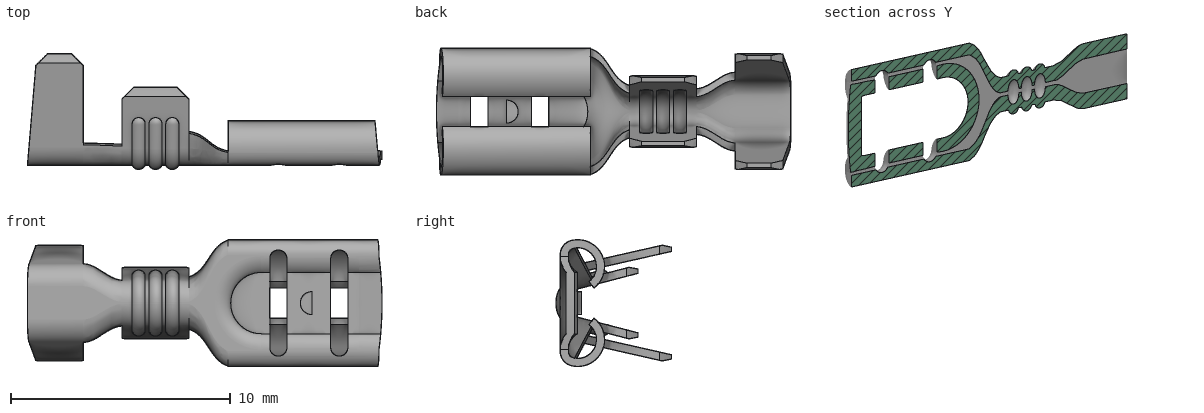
import cadquery as cq
import math


sheet = 0.375

insulation_end = 2.55
crimp_start = 4.3
crimp_end = 7.35
roll_start = 9.13
length = 16.13

insulation_flat = 0.76
insulation_radius = 1.03
insulation_bend = 77.25
insulation_top = 5.07
insulation_rake = 0.38

crimp_flat = 0.045
crimp_radius = 1.0
crimp_bend = 75.5
crimp_top = 3.55

corner = 0.54
coin_length = 0.43
coin_depth = 0.2

rib_pitch = 0.764
rib_count = 3
rib_width = 0.594
rib_height = 0.19
rib_top = 2.24

rear_neck_edge = 0.93
crimp_neck_edge = 0.88
front_neck_edge = 1.45
roll_neck_edge = 0.58
neck_sections = 5

roll_flat = 2.184
roll_corner_radius = 0.69
roll_corner_angle = 78
roll_radius = 1.225
roll_tip_angle = 53
roll_top_end = 15.77
roll_floor_end = 15.99

dish_center = 10.64
dish_outer = 2.12
dish_inner = 1.395
dish_depth = 0.41
lip_start = 15.1
lip_depth = 0.27

slot_centers = (11.41, 14.18)
slot_width = 0.78
slot_half_length = 2.41

detent_x = 12.93
detent_radius = 0.52
detent_height = 0.2
detent_imprint = 0.03


def polar(center, radius, degrees):
    """Point at an angle measured from the -Y direction toward +Z, as (y, z)."""
    angle = math.radians(degrees)
    return (center[0] - radius * math.cos(angle), center[1] + radius * math.sin(angle))


def mirror(points):
    """Reflect (y, z) points about Z = 0."""
    return [(y, -z) for y, z in points]


def channel(x, flat, radius, top, angle, coined=False):
    """U-shaped sheet section at station x, with wings whose outer face ends at height top."""
    center = (radius, flat)
    rad = math.radians(angle)
    along = (math.sin(rad), math.cos(rad))
    inward = (math.cos(rad), -math.sin(rad))
    inner_radius = radius - sheet
    outer = [polar(center, radius, a) for a in (0, angle / 2, angle)]
    inner = [polar(center, inner_radius, a) for a in (0, angle / 2, angle)]
    wing = (top - outer[2][0]) / along[0]

    def on_wing(distance, depth):
        return (
            outer[2][0] + along[0] * distance + inward[0] * depth,
            outer[2][1] + along[1] * distance + inward[1] * depth,
        )

    if coined:
        tip = [
            on_wing(wing - coin_length, 0),
            on_wing(wing, coin_depth),
            on_wing(wing, sheet),
        ]
    else:
        tip = [on_wing(wing, 0), on_wing(wing, sheet)]

    section = cq.Workplane("YZ", origin=(x, 0, 0)).moveTo(*mirror(outer)[0]).lineTo(*outer[0])
    section = section.threePointArc(outer[1], outer[2])
    for point in tip + [inner[2]]:
        section = section.lineTo(*point)
    section = section.threePointArc(inner[1], inner[0])
    section = section.lineTo(*mirror(inner)[0])
    section = section.threePointArc(*mirror(inner)[1:])
    for point in mirror(tip)[::-1] + mirror(outer)[2:]:
        section = section.lineTo(*point)
    return section.threePointArc(mirror(outer)[1], mirror(outer)[0]).close()


def side_prism(points):
    """Prism with the given (x, y) outline that spans the whole part along Z."""
    return cq.Workplane("XY").polyline(points).close().extrude(length, both=True)


def crimp_wings(start, end, flat, radius, bend, top, rake):
    """Channel with coined wing tips, cut corners and a raked rear edge."""
    body = channel(start, flat, radius, top, bend, coined=True).extrude(end - start)
    shoulder = top - corner
    outline = side_prism([
        (start, 0),
        (end, 0),
        (end, shoulder),
        (end - corner, top),
        (start + rake + corner, top),
        (start + rake, shoulder),
    ])
    return body.intersect(outline)


def neck(x_start, x_end, first, last):
    """Smooth transition between two channels given as (flat, radius, top, bend)."""
    wires = []
    for step in range(neck_sections):
        u = step / (neck_sections - 1)
        blend = u * u * (3 - 2 * u)
        shape = [a + (b - a) * blend for a, b in zip(first, last)]
        section = channel(x_start + (x_end - x_start) * u, *shape)
        wires.append(section.wires().val())
    return cq.Workplane(cq.Solid.makeLoft(wires))


def rib_sweep(x, depth, radius):
    """Round bar that follows the wire crimp at a given depth below its outer face."""
    arc_center = (crimp_radius, crimp_flat)
    bend = math.radians(crimp_bend)
    path_radius = crimp_radius - depth
    bend_points = [polar(arc_center, path_radius, a) for a in (0, crimp_bend / 2, crimp_bend)]
    rise = rib_top - radius - bend_points[2][0]
    tip = (rib_top - radius, bend_points[2][1] + rise / math.tan(bend))
    path = (
        cq.Workplane("YZ", origin=(x, 0, 0))
        .moveTo(*mirror([tip])[0])
        .lineTo(*mirror(bend_points)[2])
        .threePointArc(mirror(bend_points)[1], mirror(bend_points)[0])
        .lineTo(*bend_points[0])
        .threePointArc(bend_points[1], bend_points[2])
        .lineTo(*tip)
    )
    start = cq.Vector(x, tip[0], -tip[1])
    direction = cq.Vector(0, -math.sin(bend), math.cos(bend))
    bar = cq.Workplane(cq.Plane(start, (1, 0, 0), direction)).circle(radius).sweep(path)
    for side in (-1, 1):
        bar = bar.union(cq.Workplane().sphere(radius).translate((x, tip[0], side * tip[1])))
    return bar


def add_ribs(body):
    """Press the ribs out of the wire crimp, leaving matching grooves inside."""
    radius = (rib_width ** 2 / 4 + rib_height ** 2) / (2 * rib_height)
    depth = radius - rib_height
    middle = (crimp_start + crimp_end) / 2
    for index in range(rib_count):
        x = middle + (index - (rib_count - 1) / 2) * rib_pitch
        body = body.union(rib_sweep(x, depth, radius))
        body = body.cut(rib_sweep(x, depth + sheet, radius))
    return body


def rolled_channel():
    """Receptacle: flat floor with both sides rolled over the top."""
    corner_center = (roll_corner_radius, roll_flat)
    joint = polar(corner_center, roll_corner_radius, roll_corner_angle)
    roll_center = polar(joint, -roll_radius, roll_corner_angle)
    tip_angle = 180 + roll_tip_angle
    middle_angle = (roll_corner_angle + tip_angle) / 2

    def half(inset):
        corner_arc = [
            polar(corner_center, roll_corner_radius - inset, a)
            for a in (0, roll_corner_angle / 2, roll_corner_angle)
        ]
        roll_arc = [polar(roll_center, roll_radius - inset, a) for a in (middle_angle, tip_angle)]
        return corner_arc + roll_arc

    outer = half(0)
    inner = half(sheet)
    side = (
        cq.Workplane("YZ", origin=(roll_start, 0, 0))
        .moveTo(0, 0)
        .lineTo(*outer[0])
        .threePointArc(outer[1], outer[2])
        .threePointArc(outer[3], outer[4])
        .lineTo(*inner[4])
        .threePointArc(inner[3], inner[2])
        .threePointArc(inner[1], inner[0])
        .lineTo(sheet, 0)
        .close()
        .extrude(length - roll_start)
    )
    return side.union(side.mirror("XY"))


def dish_profile(plane, depth):
    """Half section of the dish on a plane with local axes (outward, +Y)."""
    width = dish_outer - dish_inner
    flank_radius = (width ** 2 + depth ** 2) / (2 * depth)
    half_angle = math.atan2(depth, width)
    bulge = (
        dish_outer - flank_radius * math.sin(half_angle),
        flank_radius * (1 - math.cos(half_angle)),
    )
    return (
        cq.Workplane(plane)
        .moveTo(0, 0)
        .lineTo(dish_outer, 0)
        .threePointArc(bulge, (dish_inner, depth))
        .lineTo(0, depth)
        .close()
    )


def dish():
    """Volume of the floor recess: a U-shaped plateau with a rounded flank, shallower at the mouth."""

    def section(x, depth):
        return dish_profile(cq.Plane((x, 0, 0), (0, 0, -1), (1, 0, 0)), depth)

    round_end = section(dish_center, dish_depth).revolve(360, (0, 0), (0, 1))
    straight = section(dish_center, dish_depth).extrude(lip_start - dish_center)
    lip_wires = [section(lip_start, dish_depth), section(length, lip_depth)]
    lip = cq.Solid.makeLoft([wire.wires().val() for wire in lip_wires], True)
    far = straight.union(cq.Workplane(lip))
    return round_end.union(far).union(far.mirror("XY"))


def mouth_trim():
    """Envelope of the receptacle: raked mouth with a bowed floor edge."""
    height = 2 * roll_radius
    slope = (roll_floor_end - roll_top_end) / height
    raked = side_prism([
        (0, -height),
        (roll_floor_end + slope * height, -height),
        (roll_top_end, height),
        (0, height),
    ])
    bowed = (
        cq.Workplane("XZ")
        .moveTo(0, -dish_outer)
        .lineTo(roll_floor_end, -dish_outer)
        .threePointArc((length, 0), (roll_floor_end, dish_outer))
        .lineTo(0, dish_outer)
        .close()
        .extrude(-(dish_depth + sheet))
    )
    return raked.union(bowed)


def detent(height):
    """Half-round plug rising from Y = 0 to the given height."""
    disc = cq.Workplane("XZ", origin=(detent_x, 0, 0)).circle(detent_radius).extrude(-height)
    keep_center = (detent_x - detent_radius / 2, 0, 0)
    keep = cq.Workplane().box(detent_radius, length, length).translate(keep_center)
    return disc.intersect(keep)


def slot(x):
    """Slot with rounded ends through the floor."""
    return (
        cq.Workplane("XZ", origin=(x, 0, 0))
        .slot2D(2 * slot_half_length, slot_width, 90)
        .extrude(-(dish_depth + 2 * sheet))
    )


insulation = crimp_wings(
    0, insulation_end, insulation_flat, insulation_radius, insulation_bend, insulation_top, insulation_rake
)
wire_crimp = add_ribs(
    crimp_wings(crimp_start, crimp_end, crimp_flat, crimp_radius, crimp_bend, crimp_top, 0)
)
rear_neck = neck(
    insulation_end,
    crimp_start,
    (insulation_flat, insulation_radius, rear_neck_edge, insulation_bend),
    (crimp_flat, crimp_radius, crimp_neck_edge, crimp_bend),
)
front_neck = neck(
    crimp_end,
    roll_start,
    (crimp_flat, crimp_radius, front_neck_edge, crimp_bend),
    (roll_flat, roll_corner_radius, roll_neck_edge, roll_corner_angle),
)

recess = dish()
front = rolled_channel().union(front_neck)
front = front.union(recess.translate((0, sheet, 0))).cut(recess)
front = front.union(detent(dish_depth + sheet + detent_height).cut(recess))
front = front.cut(detent(dish_depth + detent_imprint)).intersect(mouth_trim())
for x in slot_centers:
    front = front.cut(slot(x))

result = insulation.union(rear_neck).union(wire_crimp).union(front)